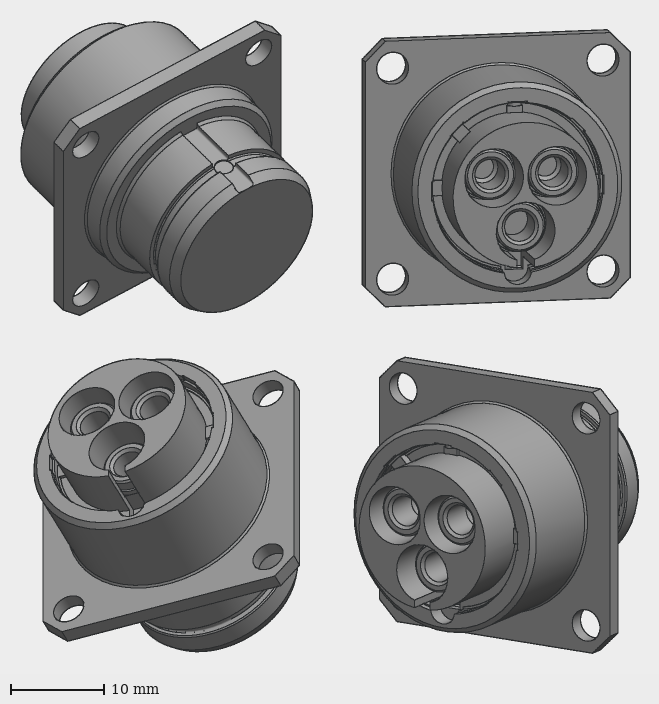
import cadquery as cq
import math

length = 30.0
body_front = 4.17
flange_front = 14.82
flange_back = 16.53
body_back = 19.53

insert_radius = 7.95
body_radius = 11.5
body_chamfer = 0.55
neck_radius = 9.42

flange_side = 29.0
flange_corner_cut = 2.2
flange_ridge = 0.2
bolt_offset = 11.52
bolt_hole_radius = 1.75

neck_root_length = 0.35
neck_root_height = 0.25
groove_front = 25.23
groove_width = 1.25
groove_radius = 8.75
groove_fillet = 0.15
groove_lip = 0.15
tip_length = 1.17
tip_drop = 0.63

slot_width = 2.13
slot_floor = 8.8
slot_floor_fillet = 0.18
detent_x = 25.85
detent_radius = 1.02
detent_floor = 8.65

mouth_radius = 9.35
mouth_depth = 0.78
socket_radius = 9.2
ledge_radius = 8.97
ledge_height = 0.18
socket_floor = 6.15
notch_width = 2.07
notch_reach = 9.45
notch_angles = (0, 45, 90, 135, 180)
key_width = 1.65
long_key_front = 5.1
short_key_front = 5.82
long_key_angle = 45
short_key_angles = (0, 180)
keyway_radius = 1.5
keyway_center = 9.03
top_key_height = 8.7
nose_radius = 0.75

pitch_radius = 4.0
cavity_radius = 3.2
cavity_depth = 4.8
collar_radius = 2.97
collar_length = 0.6
contact_radius = 2.73
contact_chamfer = 0.2
contact_entry_radius = 1.98
contact_bore_radius = 1.65
contact_entry_depth = 0.33
contact_bore_depth = 4.2
contact_step_radius = 1.25
contact_step_length = 0.42
upper_contact_face = 1.85
lower_contact_face = 2.88
contacts = (
    (30, upper_contact_face, True),
    (150, upper_contact_face, True),
    (-90, lower_contact_face, False),
)

insert_slot_width = 1.95
insert_slot_reach = 9.25
insert_slot_depth = 7.2
insert_slot_chamfer = 0.18


def cylinder(radius, start, end, y=0.0, z=0.0):
    """Solid cylinder along X between two stations."""
    return cq.Workplane("YZ", origin=(start, y, z)).circle(radius).extrude(end - start)


def cone(start_radius, end_radius, start, end, y=0.0, z=0.0):
    """Solid cone along X between two stations."""
    base = cq.Vector(start, y, z)
    solid = cq.Solid.makeCone(start_radius, end_radius, end - start, base, cq.Vector(1, 0, 0))
    return cq.Workplane(obj=solid)


def radial_block(width, inner, outer, start, end, angle):
    """Block pointing outward from the axis; the angle runs from +Y towards +Z."""
    block = cq.Workplane("XY").box(end - start, outer - inner, width, centered=(False, False, True))
    return block.translate((start, inner, 0)).rotate((0, 0, 0), (1, 0, 0), angle)


def make_shell():
    """Turned outer shape of the insert, the body and the neck."""
    groove_back = groove_front + groove_width
    ridge_radius = body_radius + flange_ridge
    outline = (
        cq.Workplane("XY")
        .lineTo(0, insert_radius)
        .lineTo(body_front, insert_radius)
        .lineTo(body_front, body_radius - body_chamfer)
        .lineTo(body_front + body_chamfer, body_radius)
        .lineTo(flange_front - flange_ridge, body_radius)
        .lineTo(flange_front, ridge_radius)
        .lineTo(flange_back, ridge_radius)
        .lineTo(flange_back + flange_ridge, body_radius)
        .lineTo(body_back - body_chamfer, body_radius)
        .lineTo(body_back, body_radius - body_chamfer)
        .lineTo(body_back, neck_radius + neck_root_height)
        .lineTo(body_back + neck_root_length, neck_radius)
        .lineTo(groove_front, neck_radius)
        .lineTo(groove_front, groove_radius + groove_fillet)
        .radiusArc((groove_front + groove_fillet, groove_radius), -groove_fillet)
        .lineTo(groove_back - groove_fillet, groove_radius)
        .radiusArc((groove_back, groove_radius + groove_fillet), -groove_fillet)
        .lineTo(groove_back, neck_radius - groove_lip)
        .lineTo(groove_back + groove_lip, neck_radius)
        .lineTo(length - tip_length, neck_radius)
        .lineTo(length, neck_radius - tip_drop)
        .lineTo(length, 0)
        .close()
    )
    return outline.revolve(360, (0, 0, 0), (1, 0, 0))


def make_flange():
    """Square plate with cut corners; its bolt holes are drilled after joining."""
    plate = cq.Workplane("YZ", origin=(flange_front, 0, 0)).rect(flange_side, flange_side)
    return plate.extrude(flange_back - flange_front).edges("|X").chamfer(flange_corner_cut)


def make_bolt_holes():
    spacing = 2 * bolt_offset
    holes = cq.Workplane("YZ", origin=(flange_front, 0, 0)).rect(spacing, spacing, forConstruction=True)
    return holes.vertices().circle(bolt_hole_radius).extrude(flange_back - flange_front)


def make_neck_slot():
    """Flat-bottomed slot with rounded floor corners, and its shallow round detent."""
    slot = (
        cq.Workplane("YZ", origin=(body_back, 0, 0))
        .center(0, slot_floor + slot_width / 2)
        .rect(slot_width, slot_width)
        .extrude(length - body_back)
        .edges("|X and <Z")
        .fillet(slot_floor_fillet)
    )
    detent = cq.Workplane("XY", origin=(detent_x, 0, detent_floor)).circle(detent_radius)
    return slot.union(detent.extrude(neck_radius - detent_floor))


def make_socket():
    """Stepped ring around the insert, less the keys that stand on its floor."""
    mouth_end = body_front + mouth_depth
    socket = cylinder(mouth_radius, body_front, mouth_end)
    ledge_start = socket_floor - ledge_height
    socket = socket.union(cylinder(socket_radius, mouth_end, ledge_start))
    socket = socket.union(cylinder(ledge_radius, ledge_start, socket_floor))
    for angle in notch_angles:
        socket = socket.union(radial_block(notch_width, 0, notch_reach, body_front, mouth_end, angle))
    socket = socket.union(cylinder(keyway_radius, body_front, socket_floor, z=-keyway_center))
    socket = socket.cut(cylinder(insert_radius, body_front, socket_floor))
    socket = socket.cut(radial_block(key_width, 0, notch_reach, long_key_front, socket_floor, long_key_angle))
    for angle in short_key_angles:
        socket = socket.cut(radial_block(key_width, 0, notch_reach, short_key_front, socket_floor, angle))
    return socket.cut(make_top_key())


def make_top_key():
    """Key at the top of the socket: a block carrying a round upright nose."""
    block = radial_block(key_width, 0, top_key_height, short_key_front, socket_floor, 90)
    nose = cq.Workplane("XY", origin=(socket_floor, 0, top_key_height)).circle(nose_radius)
    return block.union(nose.extrude(notch_reach - top_key_height))


def make_contact(face, stepped, y, z):
    """Tubular contact on a collar; a stepped bore ends in a taper to a smaller flat."""
    taper_start = face + contact_chamfer
    contact = cone(contact_radius - contact_chamfer, contact_radius, face, taper_start, y, z)
    contact = contact.union(cylinder(contact_radius, taper_start, cavity_depth, y, z))
    contact = contact.union(cylinder(collar_radius, cavity_depth - collar_length, cavity_depth, y, z))
    bore_start = face + contact_entry_depth
    bore_end = face + contact_bore_depth
    bore = cone(contact_entry_radius, contact_bore_radius, face, bore_start, y, z)
    bore = bore.union(cylinder(contact_bore_radius, bore_start, bore_end, y, z))
    if stepped:
        step_end = bore_end + contact_step_length
        bore = bore.union(cone(contact_bore_radius, contact_step_radius, bore_end, step_end, y, z))
    return contact, bore


def make_insert_slot():
    """Slot running outward from the lower cavity, chamfered along its far bottom edge."""
    slot_start = pitch_radius + collar_radius
    slot = radial_block(insert_slot_width, slot_start, insert_slot_reach, 0, insert_slot_depth, -90)
    return slot.faces(">X").edges("<Z").chamfer(insert_slot_chamfer)


part = make_shell().union(make_flange())
part = part.cut(make_bolt_holes())
part = part.cut(make_neck_slot())
part = part.cut(make_socket())
part = part.cut(make_insert_slot())

for angle, face, stepped in contacts:
    y = pitch_radius * math.cos(math.radians(angle))
    z = pitch_radius * math.sin(math.radians(angle))
    contact, bore = make_contact(face, stepped, y, z)
    part = part.cut(cylinder(cavity_radius, 0, cavity_depth, y, z))
    part = part.union(contact).cut(bore)

result = part